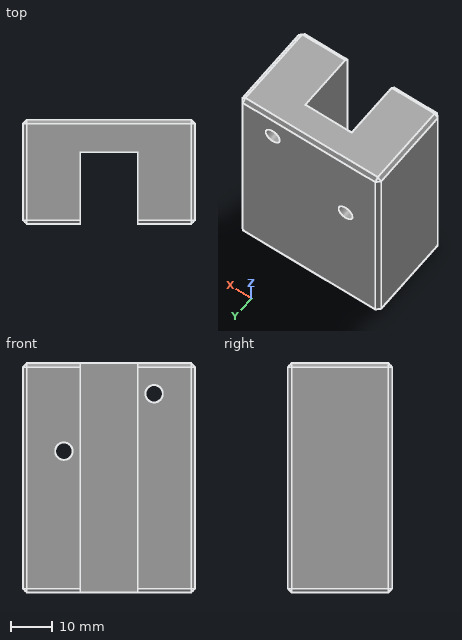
import cadquery as cq

WIDTH = 42.0
DEPTH = 25.5
HEIGHT = 56.0
CHAMFER = 1.0

SLOT_WIDTH = 14.0
BACK_WALL = 8.0
SLOT_DEPTH = DEPTH - BACK_WALL

HOLE_DIAMETER = 4.2
HOLE_OFFSET_X = 11.0
LEFT_HOLE_HEIGHT = 34.5
RIGHT_HOLE_HEIGHT = 48.5


def chamfered_block():
    """Block centred on X, front face at Y = 0, base at Z = 0."""
    block = cq.Workplane("XY").box(WIDTH, DEPTH, HEIGHT, centered=(True, False, False))
    return block.edges().chamfer(CHAMFER)


def slot():
    """Straight channel that leaves the back wall between the two legs."""
    return cq.Workplane("XY").box(SLOT_WIDTH, SLOT_DEPTH, HEIGHT, centered=(True, False, False))


def leg_holes():
    """Cylinders running from the front face through the back face."""
    centres = [(-HOLE_OFFSET_X, LEFT_HOLE_HEIGHT), (HOLE_OFFSET_X, RIGHT_HOLE_HEIGHT)]
    return cq.Workplane("XZ").pushPoints(centres).circle(HOLE_DIAMETER / 2).extrude(-DEPTH)


result = chamfered_block().cut(slot()).cut(leg_holes())